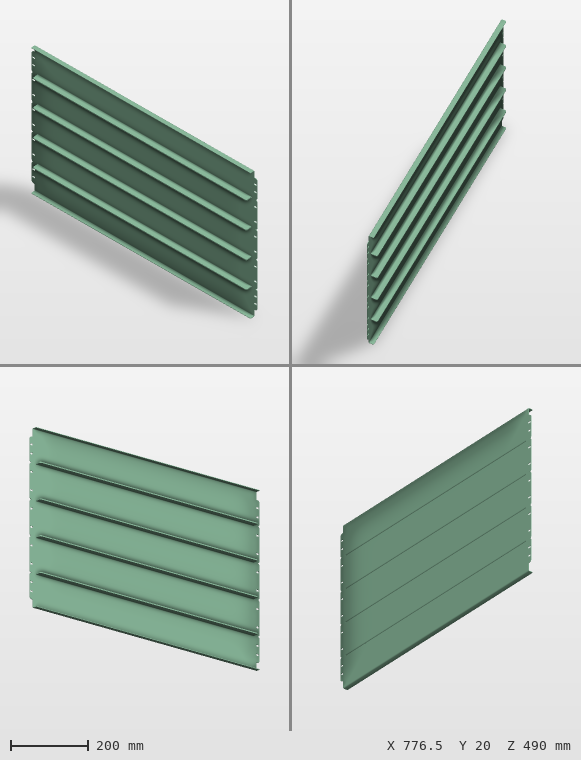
import cadquery as cq
import math

length = 776.5
height = 490.0
depth = 20.0
pitch = 100.0
middle_count = 3
sheet = 1.5

seam_length = 737.0
seam_rounding = 5.0
rim_depth = 15.0
rim_rounding = 2.0
inner_bend = 1.5
outer_bend = inner_bend + sheet

shoulder_inset = 10.0
shoulder_drop = 23.0
notch_radius = 2.0
corner_radius = 6.0
shoulder_radius = 7.0

slot_length = 9.0
slot_height = 5.5
slot_rounding = 1.5
slot_inset = 1.5
slot_pitch = pitch / 4

seam_top = pitch * middle_count / 2
end_height = height / 2 - seam_top
rim_length = length - 2 * shoulder_inset


def bent_flange(span, reach, rounding):
    """Flange on the plane z = 0, folded forward (-Y) out of a web standing on its back face y = 0."""
    diagonal = math.sqrt(0.5)
    outer_middle = outer_bend * (diagonal - 1)
    inner_offset = inner_bend * diagonal
    profile = (
        cq.Workplane("YZ")
        .moveTo(0, outer_bend)
        .threePointArc((outer_middle, -outer_middle), (-outer_bend, 0))
        .lineTo(-reach, 0)
        .lineTo(-reach, sheet)
        .lineTo(-outer_bend, sheet)
        .threePointArc(
            (-outer_bend + inner_offset, outer_bend - inner_offset),
            (-sheet, outer_bend),
        )
        .close()
    )
    strip = profile.extrude(span / 2, both=True)
    return strip.edges("|Z and <Y").fillet(rounding)


def add_flange(web, span, reach, rounding, edge_z, inward):
    """Replace the strip of web at edge_z by a bend and flange; inward is the web's side (+1 or -1)."""
    gap = cq.Workplane("XY").box(span, sheet, outer_bend, centered=(True, False, False))
    gap = gap.translate((0, -sheet, 0))
    flange = bent_flange(span, reach, rounding)
    if inward < 0:
        gap = gap.mirror("XY")
        flange = flange.mirror("XY")
    return web.cut(gap.translate((0, 0, edge_z))).union(flange.translate((0, 0, edge_z)))


def cut_slots(panel, heights):
    """Cut a slot at each given height just inside both side edges."""
    center_x = length / 2 - slot_inset - slot_length / 2
    slot = cq.Workplane("XZ").rect(slot_length, slot_height).extrude(sheet)
    slot = slot.edges("|Y").fillet(slot_rounding).translate((center_x, 0, 0))
    for slot_z in heights:
        right_slot = slot.translate((0, 0, slot_z))
        panel = panel.cut(right_slot).cut(right_slot.mirror("YZ"))
    return panel


def middle_panel(center_z):
    """Panel with a seam flange along both long edges."""
    panel = cq.Workplane("XZ").rect(length, pitch).extrude(sheet)
    panel = panel.edges("|Y").fillet(corner_radius)
    for inward in (-1, 1):
        panel = add_flange(panel, seam_length, depth, seam_rounding, -inward * pitch / 2, inward)
    panel = cut_slots(panel, (-slot_pitch, slot_pitch))
    return panel.translate((0, 0, center_z))


def top_panel():
    """End panel: seam flange below, shorter rim flange above, stepped outer corners."""
    shoulder_z = end_height - shoulder_drop
    wide = cq.Workplane("XZ").rect(length, shoulder_z).extrude(sheet)
    wide = wide.edges("|Y and <Z").fillet(corner_radius).edges("|Y and >Z").fillet(shoulder_radius)
    wide = wide.translate((0, 0, shoulder_z / 2))
    narrow = cq.Workplane("XZ").rect(rim_length, end_height).extrude(sheet)
    panel = wide.union(narrow.translate((0, 0, end_height / 2)))
    for side in (-1, 1):
        inner_corner = (side * rim_length / 2, -sheet / 2, shoulder_z)
        panel = panel.edges(cq.NearestToPointSelector(inner_corner)).fillet(notch_radius)
    panel = add_flange(panel, seam_length, depth, seam_rounding, 0, 1)
    panel = add_flange(panel, rim_length, rim_depth, rim_rounding, end_height, -1)
    return cut_slots(panel, (slot_pitch, 2 * slot_pitch)).translate((0, 0, seam_top))


upper_end = top_panel()
lower_end = upper_end.mirror("XY")
lowest_center = -(middle_count - 1) / 2 * pitch
middles = [middle_panel(lowest_center + i * pitch) for i in range(middle_count)]

result = cq.Compound.makeCompound(
    [panel.solids().val() for panel in (upper_end, lower_end, *middles)]
)